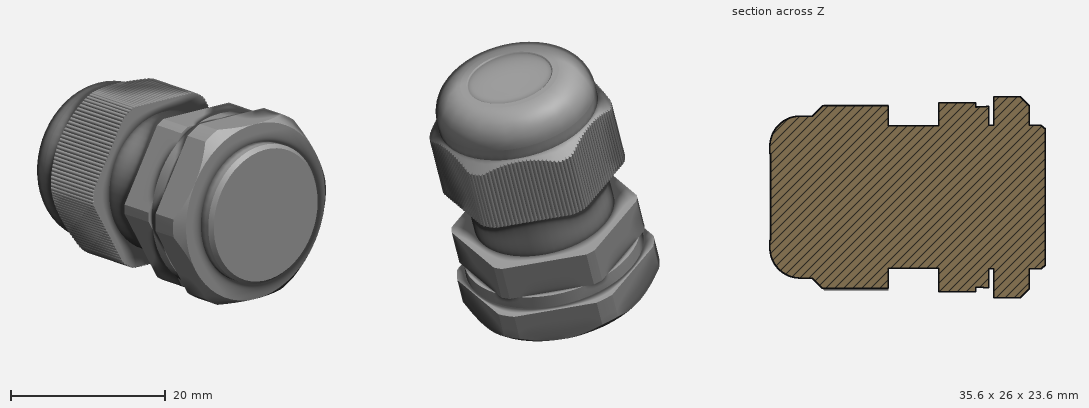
import cadquery as cq
import math


dome_end = 4.0
cap_cone_start = 5.52
cap_end = 15.38
hex_start = 21.82
hex_end = 26.63
seal_end = 28.35
nut_start = 28.87
nut_end = 33.57
overall_length = 35.6

cap_diameter = 21.0
recess_rim_diameter = 11.32
recess_floor_diameter = 10.95
recess_depth = 0.15

knurl_flats = 21.75
knurl_corners = 24.05
knurl_depth = 0.25
teeth_per_side = 24

body_diameter = 18.5
thread_diameter = 18.6
thread_chamfer_length = 0.57
thread_chamfer_depth = 0.45
hex_flats = 21.75
hex_corners = 24.42
seal_start_diameter = 23.32
seal_diameter = 23.5
nut_flats = 23.6
nut_corners = 26.0


def revolved(outline):
    """Solid of revolution about X from (x, radius) points, closed along the axis."""
    points = [(outline[0][0], 0)] + outline + [(outline[-1][0], 0)]
    return cq.Workplane("XY").polyline(points).close().revolve(360, (0, 0, 0), (1, 0, 0))


def disc(start, end, diameter):
    """Cylinder from one X station to another."""
    return revolved([(start, diameter / 2), (end, diameter / 2)])


def hexagon(start, end, flats):
    """Sharp hexagonal prism with flats at top and bottom."""
    across_corners = flats / math.cos(math.radians(30))
    return cq.Workplane("YZ", origin=(start, 0, 0)).polygon(6, across_corners).extrude(end - start)


def knurl_root(side, distance, flats, corners):
    """Point (y, z) on a rounded hexagon, a distance along one side from its middle."""
    apothem = flats / 2
    radius = corners / 2
    flat_half = math.sqrt(radius**2 - apothem**2)
    if abs(distance) <= flat_half:
        angle = math.atan2(distance, apothem)
        reach = math.hypot(distance, apothem)
    else:
        past_flat = (abs(distance) - flat_half) / radius
        angle = math.copysign(math.acos(apothem / radius) + past_flat, distance)
        reach = radius
    angle += math.radians(90 + 60 * side)
    return reach * math.cos(angle), reach * math.sin(angle)


def make_dome():
    """Rounded cap front with a shallow, slightly tapered entry recess."""
    dome = disc(0, cap_cone_start, cap_diameter).faces("<X").edges().fillet(dome_end)
    recess = revolved([(0, recess_rim_diameter / 2), (recess_depth, recess_floor_diameter / 2)])
    return dome.cut(recess)


def make_knurled_hexagon():
    """Rounded hexagon ringed by round teeth, its front corners turned to a 45 degree cone."""
    root_flats = knurl_flats - 2 * knurl_depth
    root_corners = knurl_corners - 2 * knurl_depth
    root_radius = root_corners / 2
    corner_angle = math.radians(30) - math.acos(root_flats / root_corners)
    side_length = 2 * (math.sqrt(root_radius**2 - (root_flats / 2) ** 2) + root_radius * corner_angle)
    pitch = side_length / teeth_per_side

    roots = []
    for side in range(6):
        for tooth in range(teeth_per_side):
            distance = tooth * pitch - side_length / 2
            roots.append(knurl_root(side, distance, root_flats, root_corners))

    profile = cq.Workplane("YZ", origin=(cap_cone_start, 0, 0)).moveTo(*roots[0])
    for start, end in zip(roots, roots[1:] + roots[:1]):
        chord_y = end[0] - start[0]
        chord_z = end[1] - start[1]
        chord = math.hypot(chord_y, chord_z)
        crest_y = (start[0] + end[0]) / 2 + knurl_depth * chord_z / chord
        crest_z = (start[1] + end[1]) / 2 - knurl_depth * chord_y / chord
        profile = profile.threePointArc((crest_y, crest_z), end)
    prism = profile.close().extrude(cap_end - cap_cone_start)

    cone_end = cap_cone_start + (knurl_corners - cap_diameter) / 2
    envelope = revolved([
        (cap_cone_start, cap_diameter / 2),
        (cone_end, knurl_corners / 2),
        (cap_end, knurl_corners / 2),
    ])
    return prism.intersect(envelope)


def make_threaded_end():
    """Plain cylinder for the connection thread, chamfered at its free end."""
    radius = thread_diameter / 2
    return revolved([
        (hex_end, radius),
        (overall_length - thread_chamfer_length, radius),
        (overall_length, radius - thread_chamfer_depth),
    ])


def make_locknut():
    """Hexagonal nut with turned corners and a 45 degree chamfer on its outer face."""
    chamfer = (nut_corners - nut_flats) / 2
    envelope = revolved([
        (nut_start, nut_corners / 2),
        (nut_end - chamfer, nut_corners / 2),
        (nut_end, nut_flats / 2),
    ])
    return hexagon(nut_start, nut_end, nut_flats).intersect(envelope)


body = disc(cap_cone_start, hex_end, body_diameter)
wrench_hexagon = hexagon(hex_start, hex_end, hex_flats).intersect(disc(hex_start, hex_end, hex_corners))
seal = revolved([(hex_end, seal_start_diameter / 2), (seal_end, seal_diameter / 2)])

result = (
    make_dome()
    .union(make_knurled_hexagon())
    .union(body)
    .union(wrench_hexagon)
    .union(seal)
    .union(make_threaded_end())
    .union(make_locknut())
)